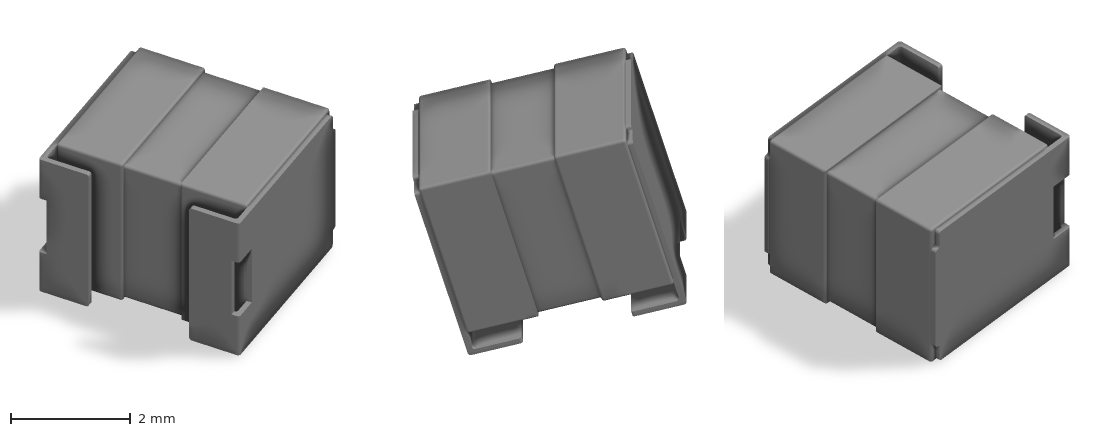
import cadquery as cq

OVERALL_LENGTH = 3.8
OVERALL_DEPTH = 3.45
FLANGE_HEIGHT = 2.9
FLANGE_DEPTH = 3.002

EDGE_RADIUS = 0.05
WINDING_INSET = 0.05
SHEET_THICKNESS = 0.1

WINDING_LENGTH = 1.1
WINDING_WALL = 0.495
WINDING_DEPTH = FLANGE_DEPTH - 2 * WINDING_INSET
WINDING_HEIGHT = FLANGE_HEIGHT - 2 * WINDING_INSET
POST_DEPTH = WINDING_DEPTH - 2 * WINDING_WALL
POST_HEIGHT = WINDING_HEIGHT - 2 * WINDING_WALL
CORE_LENGTH = OVERALL_LENGTH - 2 * SHEET_THICKNESS
FLANGE_LENGTH = (CORE_LENGTH - WINDING_LENGTH) / 2

TERMINAL_HEIGHT = FLANGE_HEIGHT - 2 * EDGE_RADIUS
FOOT_LENGTH = 0.95
BEND_SLOT_HEIGHT = 1.14
BEND_SLOT_WIDTH = SHEET_THICKNESS + EDGE_RADIUS
CORNER_CUT_DEPTH = 2 * EDGE_RADIUS
CORNER_CUT_HEIGHT = 0.35

CORE_BACK_Y = FLANGE_DEPTH / 2
CORE_FRONT_Y = -FLANGE_DEPTH / 2
FOOT_FACE_Y = CORE_BACK_Y - OVERALL_DEPTH
OUTER_X = OVERALL_LENGTH / 2


def make_post():
    """Rectangular post between the flanges."""
    return cq.Workplane("XY").box(WINDING_LENGTH, POST_DEPTH, POST_HEIGHT)


def make_flange(side, rounded_edges):
    """One flange block; side is -1 for the -X end and +1 for the +X end."""
    flange_offset = (WINDING_LENGTH + FLANGE_LENGTH) / 2
    return (
        cq.Workplane("XY")
        .box(FLANGE_LENGTH, FLANGE_DEPTH, FLANGE_HEIGHT)
        .edges(rounded_edges)
        .fillet(EDGE_RADIUS)
        .translate((side * flange_offset, 0, 0))
    )


def make_core():
    """Drum core: two flanges joined by a post.

    The +X flange keeps its top and bottom edges next to the winding sharp.
    """
    left_flange = make_flange(-1, "|X or |Y or |Z")
    right_flange = make_flange(1, "not (|Y and <X)")
    return make_post().union(left_flange).union(right_flange)


def make_winding():
    """Rounded rectangular sleeve that fills the space between the flanges."""
    return (
        cq.Workplane("XY")
        .box(WINDING_LENGTH, WINDING_DEPTH, WINDING_HEIGHT)
        .edges("|X")
        .fillet(EDGE_RADIUS)
        .cut(make_post())
    )


def make_wall():
    """Side wall: a plate whose back end steps in to a central tab, all corners rounded."""
    radius = EDGE_RADIUS
    half_height = TERMINAL_HEIGHT / 2
    tab_half_height = half_height - CORNER_CUT_HEIGHT
    shoulder_y = CORE_BACK_Y - CORNER_CUT_DEPTH
    step_middle_y = shoulder_y + radius
    upper_half = (
        cq.Workplane("YZ", origin=(-OUTER_X, 0, 0))
        .moveTo(FOOT_FACE_Y, 0)
        .lineTo(FOOT_FACE_Y, half_height)
        .lineTo(shoulder_y - radius, half_height)
        .radiusArc((shoulder_y, half_height - radius), radius)
        .lineTo(shoulder_y, tab_half_height + radius)
        .radiusArc((step_middle_y, tab_half_height), -radius)
        .radiusArc((CORE_BACK_Y, tab_half_height - radius), radius)
        .lineTo(CORE_BACK_Y, 0)
        .close()
        .extrude(SHEET_THICKNESS)
    )
    return upper_half.union(upper_half.mirror("XY")).clean()


def make_foot():
    """Flat foot with its two free corners rounded."""
    return (
        cq.Workplane("XY")
        .box(FOOT_LENGTH, SHEET_THICKNESS, TERMINAL_HEIGHT, centered=(False, False, True))
        .edges("|Y and >X")
        .fillet(EDGE_RADIUS)
        .translate((-OUTER_X, FOOT_FACE_Y, 0))
    )


def make_left_terminal():
    """L-shaped sheet terminal on the -X end, with a slot through its bend."""
    inner_x = -OUTER_X + SHEET_THICKNESS
    inner_y = FOOT_FACE_Y + SHEET_THICKNESS
    outer_bend = cq.selectors.NearestToPointSelector((-OUTER_X, FOOT_FACE_Y, 0))
    inner_bend = cq.selectors.NearestToPointSelector((inner_x, inner_y, 0))
    slot = (
        cq.Workplane("XY")
        .box(
            BEND_SLOT_WIDTH,
            CORE_FRONT_Y - FOOT_FACE_Y,
            BEND_SLOT_HEIGHT,
            centered=(False, False, True),
        )
        .translate((-OUTER_X, FOOT_FACE_Y, 0))
    )
    return (
        make_wall()
        .union(make_foot())
        .edges(outer_bend)
        .fillet(EDGE_RADIUS)
        .edges(inner_bend)
        .fillet(EDGE_RADIUS)
        .cut(slot)
    )


def make_terminals():
    """The -X terminal and its mirror image on the +X end."""
    left_terminal = make_left_terminal()
    return [left_terminal, left_terminal.mirror("YZ")]


core = make_core()
winding = make_winding()
terminals = make_terminals()

result = cq.Compound.makeCompound(
    [core.val(), winding.val(), *[terminal.val() for terminal in terminals]]
)